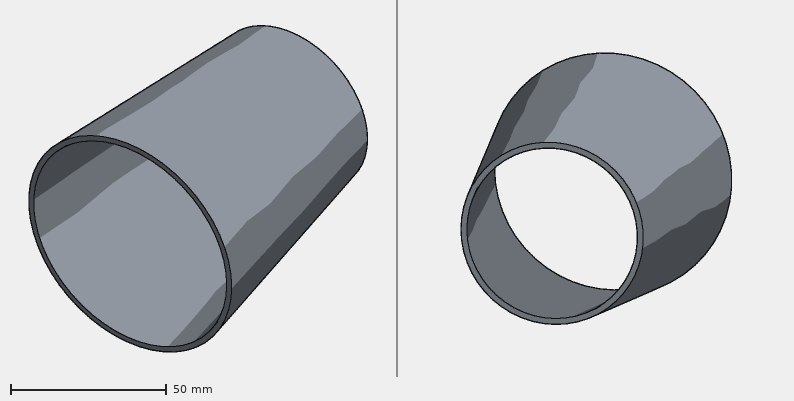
import cadquery as cq

length = 90.0
large_diameter = 80.0
small_diameter = 60.0
wall = 2.0

large_radius = large_diameter / 2
small_radius = small_diameter / 2

wall_section = (
    cq.Workplane("XY")
    .moveTo(large_radius - wall, 0)
    .lineTo(large_radius, 0)
    .lineTo(small_radius, length)
    .lineTo(small_radius - wall, length)
    .close()
)

result = wall_section.revolve(360, (0, 0, 0), (0, 1, 0))